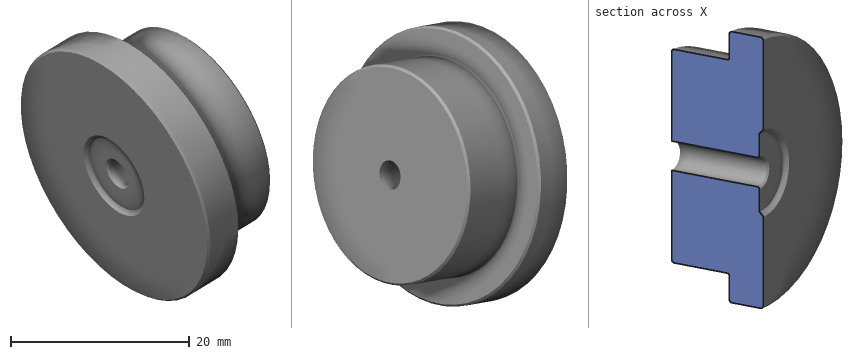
import cadquery as cq

flange_diameter = 31.75
hub_diameter = 25.02
total_length = 12.5
flange_thickness = 4.7
edge_chamfer = 0.25
corner_fillet = 0.2

recess_mouth_diameter = 10.15
recess_floor_diameter = 9.15
recess_depth = 0.5

bore_diameter = 3.35
bore_chamfer = 0.22

flange_radius = flange_diameter / 2
hub_radius = hub_diameter / 2
bore_radius = bore_diameter / 2
front_y = -total_length / 2
shoulder_y = front_y + flange_thickness
back_y = total_length / 2
recess_floor_y = front_y + recess_depth

half_section = (
    cq.Workplane("XY")
    .moveTo(bore_radius, back_y)
    .lineTo(bore_radius, recess_floor_y + bore_chamfer)
    .lineTo(bore_radius + bore_chamfer, recess_floor_y)
    .lineTo(recess_floor_diameter / 2, recess_floor_y)
    .lineTo(recess_mouth_diameter / 2, front_y)
    .lineTo(flange_radius - edge_chamfer, front_y)
    .lineTo(flange_radius, front_y + edge_chamfer)
    .lineTo(flange_radius, shoulder_y - edge_chamfer)
    .lineTo(flange_radius - edge_chamfer, shoulder_y)
    .lineTo(hub_radius + corner_fillet, shoulder_y)
    .radiusArc((hub_radius, shoulder_y + corner_fillet), corner_fillet)
    .lineTo(hub_radius, back_y - edge_chamfer)
    .lineTo(hub_radius - edge_chamfer, back_y)
    .close()
)

result = half_section.revolve(360, (0, 0, 0), (0, 1, 0))